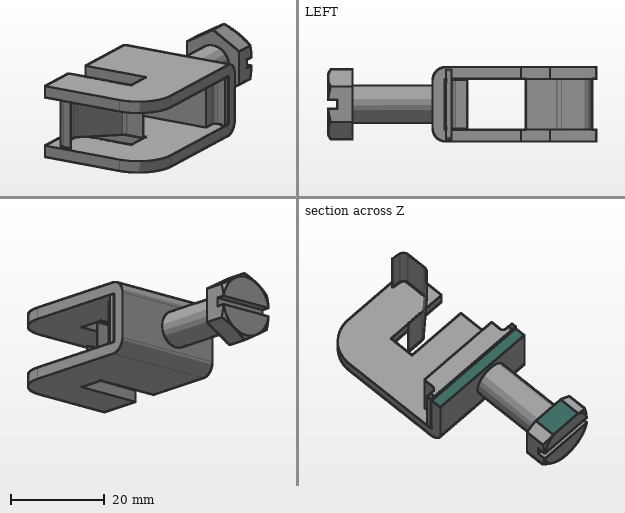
import cadquery as cq
import math

total_length = 57.3
total_width = 26.5
total_height = 16.0

sheet_thickness = 2.6
upper_arm_x = 0.5
clamp_length = 35.0
bend_radius = 2.9
hook_radius = 8.0
mouth_bottom = 9.95
mouth_top = 16.15
mouth_end_x = 15.6
inner_height = total_height - 2 * sheet_thickness
inner_wall_y = clamp_length - sheet_thickness

screw_x = 11.0
shank_diameter = 8.0
collar_diameter = 9.5
head_flats = 13.0
head_height = 5.3
head_chamfer_angle = 30.0
slot_width = 1.9
slot_depth = 1.95
half_flat_angle = 30.0
head_corners = head_flats / math.cos(math.radians(half_flat_angle))
head_bottom = total_length - head_height

plate_start_x = 0.2
plate_end_x = 26.4
plate_thickness = 1.15
plate_top = 32.1
plate_height = 15.0
plate_lug_length = 1.15
plate_corner = 0.5
block_height = 10.55
block_bottom = 27.55
block_start_x = 2.9
block_end_x = 23.65
foot_radius = 0.85
plate_bottom = plate_top - plate_thickness

leaf_thickness = 0.2
leaf_bend_radius = 1.25
leaf_left_x = 2.7
leaf_tip = (5.85, 1.0)
leaf_tip_slope = 7.0
leaf_ramp_base_y = 8.1
leaf_ramp_slope = 40.0
leaf_top_y = 15.0
leaf_end_x = mouth_end_x


def box(x_range, y_range, height):
    """Block over the given X and Y ranges, centred on Z = 0."""
    (x0, x1), (y0, y1) = x_range, y_range
    return cq.Workplane("XY").box(x1 - x0, y1 - y0, height).translate(((x0 + x1) / 2, (y0 + y1) / 2, 0))


def cylinder(diameter, y_start, y_end):
    """Cylinder on the screw axis between two Y positions."""
    return (
        cq.Workplane("XZ", origin=(screw_x, y_start, 0))
        .circle(diameter / 2)
        .extrude(y_start - y_end)
    )


def make_clamp():
    """Sheet folded into a U, with a mouth cut in both arms and a rounded hook."""
    outline = (
        cq.Workplane("XY", origin=(0, 0, -total_height / 2))
        .polyline([
            (0, 0),
            (total_width, 0),
            (total_width, clamp_length),
            (upper_arm_x, clamp_length),
            (upper_arm_x, mouth_top),
            (mouth_end_x, mouth_top),
            (mouth_end_x, mouth_bottom),
            (0, mouth_bottom),
        ])
        .close()
        .extrude(total_height)
    )
    outline = outline.edges("|Z and >X and <Y").fillet(hook_radius)
    outline = outline.edges("|X and >Y").fillet(bend_radius)
    overshoot = 0.6
    cavity = box((-overshoot, total_width + overshoot), (-overshoot, inner_wall_y), inner_height)
    cavity = cavity.edges("|X and >Y").fillet(bend_radius - sheet_thickness)
    return outline.cut(cavity)


def make_screw():
    """Slotted hexagon-head screw with a collar between the clamp wall and the plate."""
    head = (
        cq.Workplane("XZ", origin=(screw_x, head_bottom, 0))
        .polygon(6, head_corners)
        .extrude(-head_height)
        .rotate((screw_x, 0, 0), (screw_x, 1, 0), half_flat_angle)
    )
    corner_drop = (head_corners - head_flats) / 2 * math.tan(math.radians(head_chamfer_angle))
    chamfer_envelope = (
        cylinder(head_corners, head_bottom, total_length)
        .faces(">Y")
        .chamfer(corner_drop, (head_corners - head_flats) / 2)
    )
    head = head.intersect(chamfer_envelope)
    slot = box(
        (screw_x - head_corners, screw_x + head_corners),
        (total_length - slot_depth, total_length),
        slot_width,
    )
    shank = cylinder(shank_diameter, inner_wall_y, head_bottom)
    collar = cylinder(collar_diameter, plate_top, inner_wall_y)
    return head.cut(slot).union(shank).union(collar)


def make_pressure_plate():
    """Plate with a lug at each end that reaches into the arms, and a block whose feet curve into it."""
    plate_y = (plate_bottom, plate_top)
    plate = box((plate_start_x, plate_end_x), plate_y, block_height)
    for lug_x in (plate_start_x, plate_end_x - plate_lug_length):
        lug = box((lug_x, lug_x + plate_lug_length), plate_y, plate_height)
        plate = plate.union(lug)
    plate = plate.edges("|Y and (<X or >X)").fillet(plate_corner)
    block = box((block_start_x, block_end_x), (block_bottom, plate_top), block_height)
    plate = plate.union(block)
    foot_edges = cq.selectors.BoxSelector(
        (block_start_x - foot_radius, plate_bottom - foot_radius, -block_height),
        (block_end_x + foot_radius, plate_bottom + foot_radius, block_height),
    )
    return plate.edges("|Z").edges(foot_edges).fillet(foot_radius)


def make_leaf_spring():
    """Thin bent strip held between the two arms of the hook."""
    tip_x, tip_y = leaf_tip
    lower_bend_y = tip_y + (tip_x - leaf_left_x) * math.tan(math.radians(leaf_tip_slope))
    ramp_run = (leaf_top_y - leaf_ramp_base_y) / math.tan(math.radians(leaf_ramp_slope))
    corners = [
        leaf_tip,
        (leaf_left_x, lower_bend_y),
        (leaf_left_x, leaf_ramp_base_y),
        (leaf_left_x + ramp_run, leaf_top_y),
        (leaf_end_x, leaf_top_y),
    ]
    sharp_path = cq.Wire.makePolygon([cq.Vector(x, y, 0) for x, y in corners])
    path = sharp_path.fillet(leaf_bend_radius, sharp_path.Vertices()[1:-1])
    end_plane = cq.Plane(origin=path.startPoint(), xDir=(0, 0, 1), normal=path.tangentAt(0))
    return cq.Workplane(end_plane).rect(inner_height, leaf_thickness).sweep(cq.Workplane(path))


result = (
    make_clamp()
    .union(make_screw())
    .union(make_pressure_plate())
    .union(make_leaf_spring())
)